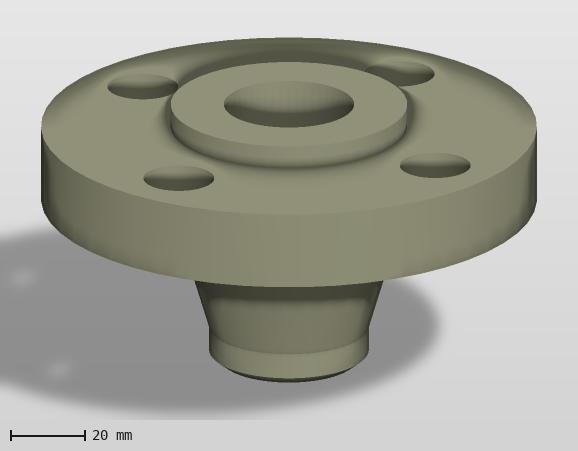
import cadquery as cq

flange_diameter = 133.4
flange_thickness = 21.0
face_diameter = 63.6
face_height = 6.3
total_height = 73.1

bore_diameter = 35.1
bolt_hole_diameter = 19.1
bolt_circle_diameter = 98.4
bolt_count = 4

weld_end_diameter = 43.0
weld_end_height = 9.3
bevel_height = 2.4
bevel_width = 3.1
hub_base_diameter = 64.4
hub_fillet_radius = 8.0

edge_tolerance = 0.1

flange_bottom = total_height - face_height - flange_thickness
flange_top = flange_bottom + flange_thickness


def make_body():
    """Revolve the solid half-section about Z, then blend the hub into the flange."""
    weld_radius = weld_end_diameter / 2
    hub_radius = hub_base_diameter / 2
    body = (
        cq.Workplane("XZ")
        .lineTo(weld_radius - bevel_width, 0)
        .lineTo(weld_radius, bevel_height)
        .lineTo(weld_radius, weld_end_height)
        .lineTo(hub_radius, flange_bottom)
        .lineTo(flange_diameter / 2, flange_bottom)
        .lineTo(flange_diameter / 2, flange_top)
        .lineTo(face_diameter / 2, flange_top)
        .lineTo(face_diameter / 2, total_height)
        .lineTo(0, total_height)
        .close()
        .revolve(360, (0, 0, 0), (0, 1, 0))
    )
    hub_base_edge = cq.selectors.BoxSelector(
        (-flange_diameter, -flange_diameter, flange_bottom - edge_tolerance),
        (flange_diameter, flange_diameter, flange_bottom + edge_tolerance),
    )
    return body.edges(hub_base_edge).edges(cq.selectors.RadiusNthSelector(0)).fillet(hub_fillet_radius)


def make_bore():
    return cq.Workplane("XY").circle(bore_diameter / 2).extrude(total_height)


def make_bolt_holes():
    return (
        cq.Workplane("XY", origin=(0, 0, flange_bottom))
        .polarArray(bolt_circle_diameter / 2, 0, 360, bolt_count)
        .circle(bolt_hole_diameter / 2)
        .extrude(flange_thickness)
    )


result = make_body().cut(make_bore()).cut(make_bolt_holes())